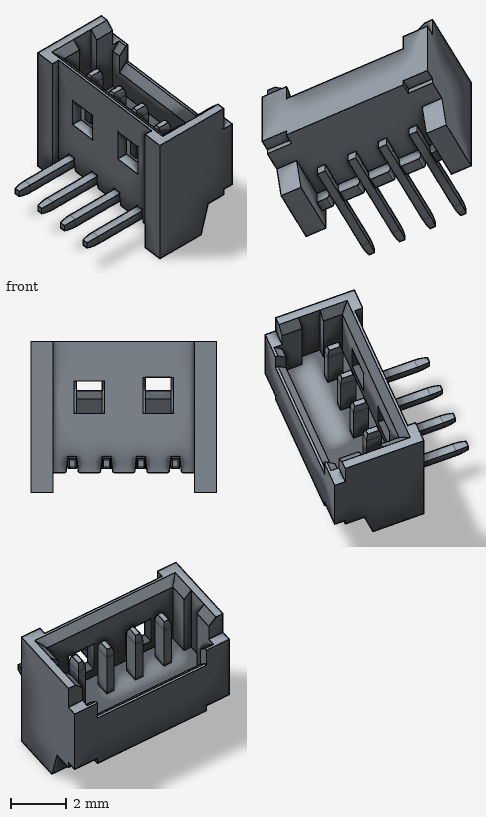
import cadquery as cq

width = 6.75
depth = 3.495
height = 5.5
half_width = width / 2

front_recess = 0.31
end_plate_width = 0.81
lead_in = 0.31
rim = 0.1
wall_thickness = rim + lead_in
front_inner_y = front_recess + wall_thickness
back_inner_y = depth - wall_thickness
side_rim = 0.31
cavity_half_width = half_width - side_rim - lead_in
rib_gap_start_y = 1.47
rib_gap_end_y = 2.31

base_z = 1.31
floor_z = 2.49
back_wall_top_z = 3.71
back_corner_top_z = 4.51
back_corner_bottom_z = 1.57
back_corner_width = 0.99
foot_depth = 2.0
foot_top_depth = 2.335
skirt_bottom_z = 0.72

pin_count = 4
pitch = 1.25
pin_width = 0.32
lead_end_y = -2.3
lead_bottom_z = 0.88
lead_height = 0.365
lead_tip_length = 0.5
lead_tip_width = 0.215
lead_tip_height = 0.255
blade_front_y = 1.12
blade_thickness = 0.595
blade_top_z = 4.73
blade_tip_length = 0.35
blade_tip_width = 0.195
blade_tip_thickness = 0.43
pin_positions = [(i - (pin_count - 1) / 2) * pitch for i in range(pin_count)]

slot_top_width = 0.31
slot_bottom_width = 0.445
slot_corner_radius = 0.09

window_width = 1.11
window_sill_z = 2.88
window_tops = {-pitch: 4.06, pitch: 4.2}


def box(x0, x1, y0, y1, z0, z1):
    """Axis-aligned block between two opposite corners."""
    return cq.Workplane("XY").box(x1 - x0, y1 - y0, z1 - z0, centered=False).translate((x0, y0, z0))


def end_plates():
    """Two end plates with feet that slope away at the back."""
    profile = [
        (0, 0),
        (foot_depth, 0),
        (foot_top_depth, base_z),
        (back_inner_y, base_z),
        (back_inner_y, height),
        (0, height),
    ]
    plate = cq.Workplane("YZ").polyline(profile).close().extrude(end_plate_width)
    left = plate.translate((-half_width, 0, 0))
    return left.union(left.mirror("YZ"))


def back_wall():
    """Low wall with taller corner blocks whose undersides are raised."""
    corner_x = half_width - back_corner_width
    wall = box(-corner_x, corner_x, back_inner_y, depth, base_z, back_wall_top_z)
    for x0 in (-half_width, corner_x):
        block = box(x0, x0 + back_corner_width, back_inner_y, depth,
                    back_corner_bottom_z, back_corner_top_z)
        wall = wall.union(block)
    return wall


def back_bevel_cutter(x_limit, top_z):
    """45 degree cut that slopes the top of the back wall down into the cavity."""
    section = [(back_inner_y, top_z), (back_inner_y + lead_in, top_z), (back_inner_y, top_z - lead_in)]
    return cq.Workplane("YZ").polyline(section).close().extrude(x_limit, both=True)


def cavity_cutter():
    """Open-topped cavity with bevelled front and end walls and a groove in each end wall."""
    well = box(-cavity_half_width, cavity_half_width, front_inner_y, back_inner_y, floor_z, height)
    mouth_half_width = cavity_half_width + lead_in
    mouth_depth = depth - front_inner_y
    mouth = (
        cq.Workplane("XY", origin=(0, front_inner_y + mouth_depth / 2, height - lead_in))
        .rect(2 * cavity_half_width, mouth_depth)
        .workplane(offset=lead_in)
        .rect(2 * mouth_half_width, mouth_depth + 2 * lead_in)
        .loft(ruled=True)
    )
    grooves = box(-mouth_half_width, mouth_half_width, rib_gap_start_y, rib_gap_end_y, floor_z, height)
    return well.union(mouth).union(grooves)


def lead_slot(x):
    """Tapered slot in the skirt, flaring out into rounded lower corners."""
    slope = (slot_bottom_width - slot_top_width) / 2 / (base_z - skirt_bottom_z)
    below_skirt_z = skirt_bottom_z - slot_corner_radius
    flare_half = slot_bottom_width / 2 + slot_corner_radius
    shoulder_z = skirt_bottom_z + slot_corner_radius
    shoulder_half = slot_bottom_width / 2 - slope * slot_corner_radius
    return (
        cq.Workplane("XZ", origin=(x, front_inner_y, 0))
        .moveTo(-slot_top_width / 2, base_z)
        .lineTo(slot_top_width / 2, base_z)
        .lineTo(shoulder_half, shoulder_z)
        .radiusArc((flare_half, skirt_bottom_z), -slot_corner_radius)
        .lineTo(flare_half, below_skirt_z)
        .lineTo(-flare_half, below_skirt_z)
        .lineTo(-flare_half, skirt_bottom_z)
        .radiusArc((-shoulder_half, shoulder_z), -slot_corner_radius)
        .close()
        .extrude(wall_thickness)
    )


def tapered_bar(length, tip_length, size_x, tip_x, size_y, tip_y):
    """Rectangular bar along +Z from the origin, its tip narrowing on all sides along tangent arcs."""

    def side_profile(plane, size, tip):
        """Outline in one plane, extruded well past the bar on both sides."""
        shoulder = length - tip_length
        inset = (size - tip) / 2
        radius = (tip_length**2 + inset**2) / (2 * inset)
        return (
            cq.Workplane(plane)
            .moveTo(-size / 2, 0)
            .lineTo(size / 2, 0)
            .lineTo(size / 2, shoulder)
            .radiusArc((tip / 2, length), -radius)
            .lineTo(-tip / 2, length)
            .radiusArc((-size / 2, shoulder), -radius)
            .close()
            .extrude(max(size_x, size_y), both=True)
        )

    return side_profile("XZ", size_x, tip_x).intersect(side_profile("YZ", size_y, tip_y))


def contact(x):
    """Right-angle contact: an upright blade and a lead that leaves through the front."""
    blade_center_y = blade_front_y + blade_thickness / 2
    blade = tapered_bar(
        blade_top_z - lead_bottom_z, blade_tip_length,
        pin_width, blade_tip_width, blade_thickness, blade_tip_thickness,
    ).translate((x, blade_center_y, lead_bottom_z))
    lead = (
        tapered_bar(
            blade_center_y - lead_end_y, lead_tip_length,
            pin_width, lead_tip_width, lead_height, lead_tip_height,
        )
        .rotate((0, 0, 0), (1, 0, 0), 90)
        .translate((x, blade_center_y, lead_bottom_z + lead_height / 2))
    )
    return blade.union(lead)


inner_x = half_width - end_plate_width
housing = box(-inner_x, inner_x, front_recess, back_inner_y, base_z, height)
housing = housing.union(end_plates()).union(back_wall())
housing = housing.union(box(-inner_x, inner_x, front_recess, front_inner_y, skirt_bottom_z, base_z))
housing = housing.cut(cavity_cutter())
housing = housing.cut(back_bevel_cutter(cavity_half_width, back_corner_top_z))
housing = housing.cut(back_bevel_cutter(half_width - back_corner_width, back_wall_top_z))

for window_x, window_top_z in window_tops.items():
    x0 = window_x - window_width / 2
    housing = housing.cut(
        box(x0, x0 + window_width, front_recess, front_inner_y, window_sill_z, window_top_z)
    )

for pin_x in pin_positions:
    housing = housing.cut(lead_slot(pin_x))

result = housing
for pin_x in pin_positions:
    result = result.union(contact(pin_x))